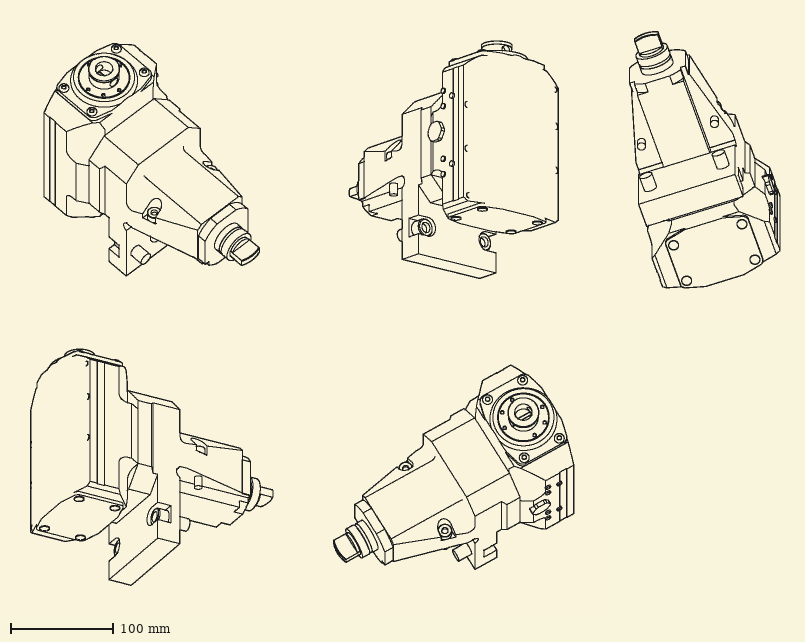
import cadquery as cq
import math

SIDES = (-1, 1)

OVERLAP = 2.5

HEAD_LENGTH = 67.7
HEAD_HALF_WIDTH = 61
HEAD_TOP = 80.6
HEAD_BOTTOM = -71.0
NOSE_HALF_WIDTH = 19.7
NOSE_DEPTH = 10.5
REAR_BEVEL_START = 56.8
REAR_BEVEL_DEPTH = 3.7
TOP_BEVEL_HEIGHT = 12.0
BOTTOM_BEVEL_HEIGHT = 13.0
SHOULDER_HALF_WIDTH = 41.5
SHOULDER_SIDE_Z = 67.7
SHOULDER_MID = (51.6, 74.8)
BOTTOM_CHAMFER_WIDTH = 4.5
BOTTOM_CHAMFER_HEIGHT = 3.5

RELIEF_SIDE_X = 42.6
RELIEF_REAR_Y = 32.2
WAIST_HALF_HEIGHT = 30.2
RELIEF_FILLET = 8.0
RELIEF_REACH = 73

STRIP_START = 18.5
STRIP_END = 26.5
STRIP_DEPTH = 0.5

PLATE_LENGTH = 64.0
SPINDLE_X = PLATE_LENGTH / 2
PLATE_TOP = 85.5
PLATE_BOTTOM = -74.3
TOP_PLATE_HALF_WIDTH = 41.2
BOTTOM_PLATE_HALF_WIDTH = 42.6
TOP_PLATE_CORNER_RADIUS = 6.8
BOTTOM_PLATE_CORNER_RADIUS = 5.4
CAP_TOP = 90.6
CAP_BASE_RADIUS = 33.0
CAP_TOP_RADIUS = 30.0
CAP_GROOVE_INNER_RADIUS = 24.5
CAP_GROOVE_OUTER_RADIUS = 25.3
CAP_GROOVE_DEPTH = 0.7
CAP_HOLE_CIRCLE = 21.5
CAP_HOLE_RADIUS = 1.7
CAP_HOLE_DEPTH = 2.0
CAP_HOLE_ANGLES = (0, 90, 135, 180, 270, 315)
COLLAR_TOP = 104.8
COLLAR_RADIUS = 14.5
COLLAR_RIM_RADIUS = 15.0
COLLAR_RIM_HEIGHT = 3.2
BORE_RADIUS = 8.5
BORE_FLOOR = 91.0
BORE_SLOT_WIDTH = 3.2
BORE_SLOT_DEPTH = 1.2
CROSS_HOLE_RADIUS = 4.9
CROSS_HOLE_Z = 96.2
PLATE_SCREW_X = 20.0
PLATE_SCREW_Y = 35.3
PLATE_SCREW_RADIUS = 4.9
PLATE_SCREW_ROUNDING = 1.5
PLATE_SCREW_HEIGHT = 2.2
LOWER_SCREW_HEIGHT = 1.0
PLATE_SOCKET_RADIUS = 2.2
PLATE_SOCKET_DEPTH = 1.7

NECK_HALF_WIDTH = 54.0
FLANGE_HALF_WIDTH = 50.0
NECK_STEP_START = 82.8
NECK_STEP_END = 86.5
FLANGE_FRONT = 91.8
FLANGE_REAR = 116.7
NECK_TOP = 60.2
NECK_TOP_HALF_WIDTH = 33.5
NECK_BOTTOM = -49.5
NECK_BOTTOM_HALF_WIDTH = 34.5
FLANGE_BOTTOM = -104.8
FLANGE_SCREW_Y = 37.5
FLANGE_SCREW_Z = -74.5
FLANGE_POCKET_RADIUS = 9.5
FLANGE_POCKET_DEPTH = 14.5
FLANGE_HEAD_RADIUS = 9.0
FLANGE_HEAD_HEIGHT = 11.2
FLANGE_HEAD_CHAMFER = 1.0
FLANGE_SOCKET_RADIUS = 5.0
FLANGE_SOCKET_DEPTH = 4.9
FLANGE_SHANK_RADIUS = 6.3
FLANGE_SHANK_LENGTH = 14.5

ARM_TOP = 33.1
ARM_TOP_HALF_WIDTH = 25.0
ARM_SIDE_BOTTOM = -19.0
ARM_BOTTOM = -32.0
RAIL_HALF_WIDTH = 23.9
TAPER_START = 124.7
ARM_END = 197.5
ARM_END_HALF_WIDTH = 30.0
ARM_FILLET = 5.4
UNDERCUT_RADIUS = (ARM_SIDE_BOTTOM - ARM_BOTTOM) / 2
UNDERCUT_X = 119.4
ARM_SCREW_X = 143.7
ARM_SCREW_Y = 37.8
ARM_POCKET_RADIUS = 7.0
ARM_POCKET_FLOOR = 5.4
ARM_HEAD_RADIUS = 6.8
ARM_HEAD_HEIGHT = 7.3
ARM_HEAD_CHAMFER = 0.5
ARM_SOCKET_RADIUS = 3.2
ARM_SOCKET_DEPTH = 3.7
ARM_SHANK_RADIUS = 4.0
ARM_SHANK_END = -30.0

RING_END = 207
RING_RADIUS = 34.3
RING_HALF_WIDTH = 29.0
SHAFT_RADIUS = 16.3
SHAFT_END = 224.9
GROOVE_START = 213.6
GROOVE_END = 216.5
GROOVE_SHOULDER_RADIUS = 15.8
GROOVE_RADIUS = 14.0
SHAFT_NECK_RADIUS = 12.0
SHAFT_NECK_END = 227.8
TANG_RADIUS = 12.5
TANG_HALF_THICKNESS = 4.1
TANG_SHOULDER = 241.2
TANG_EDGE_CHAMFER = 0.7
TANG_TIP = 243.5

PLUG_X = 49.7
PLUG_Z = 8.0
PLUG_HEX_DIAMETER = 22
PLUG_CORNER_RADIUS = 10.2
PLUG_HEIGHT = 4.1
BUTTON_RADIUS = 2.7
BUTTON_HEIGHT = 1.5
BUTTON_OUTER_X = 40.5
BUTTON_INNER_X = 27.5
BUTTON_MID_Z = 5.4
BUTTON_ROW_OFFSET = 34.8
BUTTON_PITCH = 7.8
PIN_FACE_X = 9.5
CORNER_PIN_FACE_X = 9.0
PIN_LENGTH = 7.3
PIN_RADIUS = 3.5
PIN_Y = 56.3
PIN_HEIGHTS = (27.8, -17.3)
CORNER_PIN_RADIUS = 2.7
CORNER_PIN_Y = 55.3
CORNER_PIN_Z = 65.0


def block(x0, x1, y0, y1, z0, z1):
    """Box given by its limits along each axis."""
    return cq.Workplane("XY").box(x1 - x0, y1 - y0, z1 - z0, centered=False).translate((x0, y0, z0))


def rod_x(x0, x1, y, z, radius):
    """Cylinder along X."""
    return cq.Workplane("YZ", origin=(x0, y, z)).circle(radius).extrude(x1 - x0)


def rod_z(z0, z1, x, y, radius):
    """Cylinder along Z."""
    return cq.Workplane("XY", origin=(x, y, z0)).circle(radius).extrude(z1 - z0)


def symmetric_prism(plane, points, start, end):
    """Prism from half an outline, mirrored about Y = 0.

    Points are (x, y) on the XY plane and (y, z) on the YZ plane.
    """
    if plane == "XY":
        mirrored = [(x, -y) for x, y in reversed(points)]
        origin = (0, 0, start)
    else:
        mirrored = [(-y, z) for y, z in reversed(points)]
        origin = (start, 0, 0)
    return cq.Workplane(plane, origin=origin).polyline(points + mirrored).close().extrude(end - start)


def corner_relief(side):
    """Cutter with a rounded lower edge, running diagonally across an upper rear corner."""
    run = HEAD_LENGTH - RELIEF_SIDE_X
    rise = HEAD_HALF_WIDTH - RELIEF_REAR_Y
    plane = cq.Plane(
        origin=(RELIEF_SIDE_X, side * HEAD_HALF_WIDTH, 0),
        xDir=(rise, side * run, 0),
        normal=(side * run, -rise, 0),
    )
    floor = WAIST_HALF_HEIGHT
    return (
        cq.Workplane(plane)
        .moveTo(RELIEF_FILLET, floor)
        .lineTo(RELIEF_REACH, floor)
        .lineTo(RELIEF_REACH, floor + RELIEF_REACH)
        .lineTo(0, floor + RELIEF_REACH)
        .lineTo(0, floor + RELIEF_FILLET)
        .radiusArc((RELIEF_FILLET, floor), -RELIEF_FILLET)
        .close()
        .extrude(RELIEF_REACH, both=True)
    )


def head_housing():
    """Spindle head: tapered nose, bevelled ends, corner reliefs and side grooves."""
    plan = [
        (0, NOSE_HALF_WIDTH),
        (NOSE_DEPTH, HEAD_HALF_WIDTH),
        (REAR_BEVEL_START, HEAD_HALF_WIDTH),
        (HEAD_LENGTH, NECK_HALF_WIDTH),
    ]
    head = symmetric_prism("XY", plan, HEAD_BOTTOM, HEAD_TOP)

    chamfer_z = HEAD_BOTTOM + BOTTOM_CHAMFER_HEIGHT
    chamfer_y = HEAD_HALF_WIDTH - BOTTOM_CHAMFER_WIDTH
    end_profile = (
        cq.Workplane("YZ")
        .moveTo(-SHOULDER_HALF_WIDTH, HEAD_TOP)
        .lineTo(SHOULDER_HALF_WIDTH, HEAD_TOP)
        .threePointArc(SHOULDER_MID, (HEAD_HALF_WIDTH, SHOULDER_SIDE_Z))
        .lineTo(HEAD_HALF_WIDTH, chamfer_z)
        .lineTo(chamfer_y, HEAD_BOTTOM)
        .lineTo(-chamfer_y, HEAD_BOTTOM)
        .lineTo(-HEAD_HALF_WIDTH, chamfer_z)
        .lineTo(-HEAD_HALF_WIDTH, SHOULDER_SIDE_Z)
        .threePointArc((-SHOULDER_MID[0], SHOULDER_MID[1]), (-SHOULDER_HALF_WIDTH, HEAD_TOP))
        .close()
        .extrude(HEAD_LENGTH)
    )
    side_outline = [
        (0, HEAD_BOTTOM),
        (HEAD_LENGTH - REAR_BEVEL_DEPTH, HEAD_BOTTOM),
        (HEAD_LENGTH, HEAD_BOTTOM + BOTTOM_BEVEL_HEIGHT),
        (HEAD_LENGTH, HEAD_TOP - TOP_BEVEL_HEIGHT),
        (HEAD_LENGTH - REAR_BEVEL_DEPTH, HEAD_TOP),
        (0, HEAD_TOP),
    ]
    side_profile = cq.Workplane("XZ").polyline(side_outline).close().extrude(HEAD_HALF_WIDTH, both=True)
    head = head.intersect(end_profile).intersect(side_profile)

    for side in SIDES:
        relief = corner_relief(side)
        head = head.cut(relief).cut(relief.mirror("XY"))
        groove_floor = side * (HEAD_HALF_WIDTH - STRIP_DEPTH)
        y0, y1 = sorted((groove_floor, side * (HEAD_HALF_WIDTH + OVERLAP)))
        head = head.cut(block(STRIP_START, STRIP_END, y0, y1, HEAD_BOTTOM, HEAD_TOP))
    return head


def end_plate(half_width, corner_radius, z0, z1):
    """Plate with tapered ends that follow the nose faces, and rounded corners."""
    inset = NOSE_DEPTH * (half_width - NOSE_HALF_WIDTH) / (HEAD_HALF_WIDTH - NOSE_HALF_WIDTH)
    plan = [
        (0, NOSE_HALF_WIDTH),
        (inset, half_width),
        (PLATE_LENGTH - inset, half_width),
        (PLATE_LENGTH, NOSE_HALF_WIDTH),
    ]
    plate = symmetric_prism("XY", plan, z0, z1)
    return plate.edges("|Z and (>Y or <Y)").fillet(corner_radius)


def spindle():
    """Conical cap with the bored and cross-drilled collar on top."""
    cap = (
        cq.Workplane("XZ", origin=(SPINDLE_X, 0, 0))
        .polyline([(0, HEAD_TOP), (CAP_BASE_RADIUS, HEAD_TOP), (CAP_BASE_RADIUS, PLATE_TOP),
                   (CAP_TOP_RADIUS, CAP_TOP), (0, CAP_TOP)])
        .close()
        .revolve(360, (0, 0, 0), (0, 1, 0))
    )
    cap = cap.intersect(block(0, PLATE_LENGTH, -CAP_BASE_RADIUS, CAP_BASE_RADIUS, HEAD_TOP, CAP_TOP))
    groove = (
        cq.Workplane("XY", origin=(SPINDLE_X, 0, CAP_TOP - CAP_GROOVE_DEPTH))
        .circle(CAP_GROOVE_OUTER_RADIUS)
        .circle(CAP_GROOVE_INNER_RADIUS)
        .extrude(CAP_GROOVE_DEPTH)
    )
    cap = cap.cut(groove)
    for angle in CAP_HOLE_ANGLES:
        x = SPINDLE_X + CAP_HOLE_CIRCLE * math.cos(math.radians(angle))
        y = CAP_HOLE_CIRCLE * math.sin(math.radians(angle))
        cap = cap.cut(rod_z(CAP_TOP - CAP_HOLE_DEPTH, CAP_TOP, x, y, CAP_HOLE_RADIUS))

    collar = rod_z(CAP_TOP - OVERLAP, COLLAR_TOP, SPINDLE_X, 0, COLLAR_RADIUS)
    rim = rod_z(COLLAR_TOP - COLLAR_RIM_HEIGHT, COLLAR_TOP, SPINDLE_X, 0, COLLAR_RIM_RADIUS)
    bore = rod_z(BORE_FLOOR, COLLAR_TOP, SPINDLE_X, 0, BORE_RADIUS)
    slot = block(SPINDLE_X - BORE_RADIUS, SPINDLE_X + BORE_RADIUS, -BORE_SLOT_WIDTH / 2,
                 BORE_SLOT_WIDTH / 2, BORE_FLOOR - BORE_SLOT_DEPTH, BORE_FLOOR)
    cross_hole = rod_x(0, PLATE_LENGTH, 0, CROSS_HOLE_Z, CROSS_HOLE_RADIUS)
    return cap.union(collar).union(rim).cut(bore).cut(slot).cut(cross_hole)


def plate_screws():
    """Button screws at the corners of both end plates."""
    screws = cq.Workplane("XY")
    top = PLATE_TOP + PLATE_SCREW_HEIGHT
    low = PLATE_BOTTOM - LOWER_SCREW_HEIGHT
    for x in (SPINDLE_X - PLATE_SCREW_X, SPINDLE_X + PLATE_SCREW_X):
        for side in SIDES:
            y = side * PLATE_SCREW_Y
            upper = rod_z(HEAD_TOP, top, x, y, PLATE_SCREW_RADIUS).edges(">Z").fillet(PLATE_SCREW_ROUNDING)
            upper = upper.cut(rod_z(top - PLATE_SOCKET_DEPTH, top, x, y, PLATE_SOCKET_RADIUS))
            lower = rod_z(low, HEAD_BOTTOM, x, y, PLATE_SCREW_RADIUS)
            screws = screws.union(upper).union(lower)
    return screws


def neck_and_flange():
    """Eight-sided neck that steps in to the mounting flange hanging below it."""
    slope_sum = NECK_TOP + NECK_TOP_HALF_WIDTH
    bottom_sum = NECK_BOTTOM_HALF_WIDTH - NECK_BOTTOM
    section = [
        (NECK_TOP_HALF_WIDTH, NECK_TOP),
        (NECK_HALF_WIDTH, slope_sum - NECK_HALF_WIDTH),
        (NECK_HALF_WIDTH, NECK_HALF_WIDTH - bottom_sum),
        (NECK_BOTTOM_HALF_WIDTH, NECK_BOTTOM),
    ]
    plan = [
        (HEAD_LENGTH, NECK_HALF_WIDTH),
        (NECK_STEP_START, NECK_HALF_WIDTH),
        (NECK_STEP_END, FLANGE_HALF_WIDTH),
        (FLANGE_REAR, FLANGE_HALF_WIDTH),
    ]
    neck = symmetric_prism("YZ", section, HEAD_LENGTH, FLANGE_REAR)
    neck = neck.intersect(symmetric_prism("XY", plan, NECK_BOTTOM, NECK_TOP))
    flange = block(FLANGE_FRONT, FLANGE_REAR, -FLANGE_HALF_WIDTH, FLANGE_HALF_WIDTH, FLANGE_BOTTOM, 0)
    return neck.union(flange)


def arm():
    """Arm with sloped upper sides, tapering toward the end ring."""
    slope_sum = ARM_TOP + ARM_TOP_HALF_WIDTH
    section = [
        (ARM_TOP_HALF_WIDTH, ARM_TOP),
        (FLANGE_HALF_WIDTH, slope_sum - FLANGE_HALF_WIDTH),
        (FLANGE_HALF_WIDTH, ARM_BOTTOM),
    ]
    plan = [
        (FLANGE_REAR, FLANGE_HALF_WIDTH),
        (TAPER_START, FLANGE_HALF_WIDTH),
        (ARM_END, ARM_END_HALF_WIDTH),
    ]
    body = symmetric_prism("YZ", section, FLANGE_REAR, ARM_END)
    return body.intersect(symmetric_prism("XY", plan, ARM_BOTTOM, ARM_TOP))


def end_ring():
    """Round plate trimmed flat on its sides, top and bottom."""
    ring = rod_x(ARM_END, RING_END, 0, 0, RING_RADIUS)
    return ring.intersect(
        block(ARM_END, RING_END, -RING_HALF_WIDTH, RING_HALF_WIDTH, ARM_BOTTOM, -ARM_BOTTOM)
    )


def rail_undercut(side):
    """Round-ended clearance along the lower side of the arm, running into the flange."""
    y0, y1 = sorted((side * RAIL_HALF_WIDTH, side * (FLANGE_HALF_WIDTH + OVERLAP)))
    slab = block(FLANGE_REAR, RING_END, y0, y1, ARM_BOTTOM, ARM_SIDE_BOTTOM)
    round_end = (
        cq.Workplane("XZ", origin=(UNDERCUT_X, y1, ARM_BOTTOM + UNDERCUT_RADIUS))
        .circle(UNDERCUT_RADIUS)
        .extrude(y1 - y0)
    )
    return slab.union(round_end)


def shaft():
    """Grooved drive shaft ending in a flat tang."""
    journal = [
        (ARM_END, 0),
        (ARM_END, SHAFT_RADIUS),
        (GROOVE_START, SHAFT_RADIUS),
        (GROOVE_START, GROOVE_SHOULDER_RADIUS),
        (GROOVE_END, GROOVE_RADIUS),
        (GROOVE_END, SHAFT_RADIUS),
        (SHAFT_END, SHAFT_RADIUS),
        (SHAFT_END, SHAFT_NECK_RADIUS),
        (SHAFT_NECK_END, SHAFT_NECK_RADIUS),
        (SHAFT_NECK_END, 0),
    ]
    body = cq.Workplane("XY").polyline(journal).close().revolve(360, (0, 0, 0), (1, 0, 0))
    tang = (
        cq.Workplane("XY", origin=(0, 0, -TANG_HALF_THICKNESS))
        .moveTo(SHAFT_END, -TANG_RADIUS)
        .lineTo(TANG_SHOULDER, -TANG_RADIUS)
        .threePointArc((TANG_TIP, 0), (TANG_SHOULDER, TANG_RADIUS))
        .lineTo(SHAFT_END, TANG_RADIUS)
        .close()
        .extrude(2 * TANG_HALF_THICKNESS)
        .faces("<Z or >Z")
        .chamfer(TANG_EDGE_CHAMFER)
    )
    return body.union(tang.intersect(rod_x(SHAFT_END, TANG_TIP, 0, 0, TANG_RADIUS)))


def add_flange_screw(body, side):
    """Cap screw along X in a counterbore that is open to the flange side."""
    y = side * FLANGE_SCREW_Y
    z = FLANGE_SCREW_Z
    seat = FLANGE_FRONT + FLANGE_POCKET_DEPTH
    head_top = seat - FLANGE_HEAD_HEIGHT
    y0, y1 = sorted((y, side * (FLANGE_HALF_WIDTH + OVERLAP)))
    pocket = rod_x(FLANGE_FRONT, seat, y, z, FLANGE_POCKET_RADIUS)
    opening = block(FLANGE_FRONT, seat, y0, y1, z - FLANGE_POCKET_RADIUS, z + FLANGE_POCKET_RADIUS)
    head = rod_x(head_top, seat, y, z, FLANGE_HEAD_RADIUS).edges("<X").chamfer(FLANGE_HEAD_CHAMFER)
    head = head.cut(rod_x(head_top, head_top + FLANGE_SOCKET_DEPTH, y, z, FLANGE_SOCKET_RADIUS))
    shank = rod_x(seat, FLANGE_REAR + FLANGE_SHANK_LENGTH, y, z, FLANGE_SHANK_RADIUS)
    return body.cut(pocket.union(opening)).union(head.union(shank))


def add_arm_screw(body, side):
    """Cap screw along Z in a pocket that breaks out through the tapered side."""
    x = ARM_SCREW_X
    y = side * ARM_SCREW_Y
    floor = ARM_POCKET_FLOOR
    head_top = floor + ARM_HEAD_HEIGHT
    y0, y1 = sorted((y, side * (FLANGE_HALF_WIDTH + OVERLAP)))
    pocket_top = ARM_TOP + OVERLAP
    pocket = rod_z(floor, pocket_top, x, y, ARM_POCKET_RADIUS)
    opening = block(x - ARM_POCKET_RADIUS, x + ARM_POCKET_RADIUS, y0, y1, floor, pocket_top)
    head = rod_z(floor, head_top, x, y, ARM_HEAD_RADIUS).edges(">Z").chamfer(ARM_HEAD_CHAMFER)
    head = head.cut(rod_z(head_top - ARM_SOCKET_DEPTH, head_top, x, y, ARM_SOCKET_RADIUS))
    shank = rod_z(ARM_SHANK_END, floor, x, y, ARM_SHANK_RADIUS)
    return body.cut(pocket.union(opening)).union(head.union(shank))


def side_fittings():
    """Hexagon plug with rounded corners and two rows of button screws on the +Y side."""
    side_plane = cq.Workplane("XZ", origin=(0, HEAD_HALF_WIDTH - OVERLAP, 0))
    hexagon = side_plane.center(PLUG_X, PLUG_Z).polygon(6, PLUG_HEX_DIAMETER).extrude(-OVERLAP - PLUG_HEIGHT)
    rounding = side_plane.center(PLUG_X, PLUG_Z).circle(PLUG_CORNER_RADIUS).extrude(-OVERLAP - PLUG_HEIGHT)
    fittings = hexagon.intersect(rounding)
    for row in SIDES:
        for index in (-1, 0, 1):
            x = BUTTON_INNER_X if index == 0 else BUTTON_OUTER_X
            z = BUTTON_MID_Z + row * BUTTON_ROW_OFFSET + index * BUTTON_PITCH
            button = side_plane.center(x, z).circle(BUTTON_RADIUS).extrude(-OVERLAP - BUTTON_HEIGHT)
            fittings = fittings.union(button)
    return fittings


def face_pins():
    """Pins along X that stand slightly proud of the slanted nose faces."""
    pin_end = PIN_FACE_X + PIN_LENGTH
    pins = cq.Workplane("XY")
    for side in SIDES:
        for z in PIN_HEIGHTS:
            pins = pins.union(rod_x(PIN_FACE_X, pin_end, side * PIN_Y, z, PIN_RADIUS))
        y = side * CORNER_PIN_Y
        z = -side * CORNER_PIN_Z
        corner_pin = rod_x(CORNER_PIN_FACE_X, pin_end, y, z, CORNER_PIN_RADIUS)
        pins = pins.union(corner_pin)
    return pins


result = neck_and_flange().union(arm())
root_half_width = FLANGE_HALF_WIDTH - OVERLAP
arm_root = cq.selectors.BoxSelector(
    (FLANGE_REAR - OVERLAP, -root_half_width, 0),
    (FLANGE_REAR + OVERLAP, root_half_width, ARM_TOP + OVERLAP),
)
result = result.edges(arm_root).fillet(ARM_FILLET)
result = result.union(end_ring())
for side in SIDES:
    result = result.cut(rail_undercut(side))
for side in SIDES:
    result = add_flange_screw(result, side)
    result = add_arm_screw(result, side)
result = result.union(shaft())
result = result.union(head_housing())
top_plate = end_plate(TOP_PLATE_HALF_WIDTH, TOP_PLATE_CORNER_RADIUS, HEAD_TOP, PLATE_TOP)
bottom_plate = end_plate(BOTTOM_PLATE_HALF_WIDTH, BOTTOM_PLATE_CORNER_RADIUS, PLATE_BOTTOM, HEAD_BOTTOM)
result = result.union(top_plate).union(bottom_plate)
result = result.union(spindle())
result = result.union(plate_screws())
result = result.union(side_fittings())
result = result.union(face_pins())